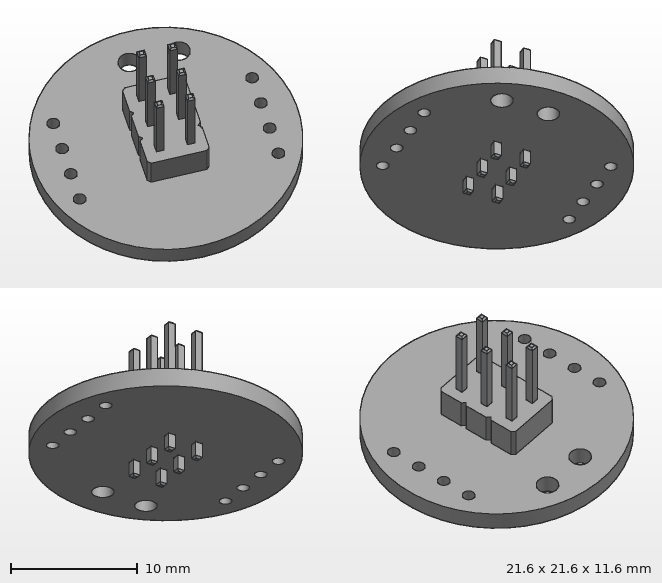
import cadquery as cq

block_length = 7.62
pin_columns = 3
pin_rows = 2
pitch = block_length / pin_columns

board_diameter = 21.6
board_thickness = 1.6

pad_hole_diameter = 1.0
pad_holes_per_row = 4
pad_row_offset = 8.15
mount_hole_diameter = 1.77
mount_hole_x = -7.88
mount_hole_ys = (3.3, -0.75)

block_height = 2.55
block_standoff = 0.05
block_chamfer = 0.25
pin_width = 0.63
pin_tip_chamfer = 0.15
pin_rise = 6.0
pin_tail = 1.35

block_width = pin_rows * pitch
block_bottom = board_thickness + block_standoff
pin_length = pin_tail + block_bottom + block_height + pin_rise


def at_pin_positions(plane):
    """Place the centres of the pin grid on a workplane."""
    return plane.rarray(pitch, pitch, pin_columns, pin_rows)


def make_board():
    """Round board with two rows of pad holes, two mounting holes and the pin holes."""
    board = cq.Workplane("XY").circle(board_diameter / 2).extrude(board_thickness)
    pad_holes = (
        cq.Workplane("XY")
        .rarray(pitch, 2 * pad_row_offset, pad_holes_per_row, 2)
        .circle(pad_hole_diameter / 2)
        .extrude(board_thickness)
    )
    mount_holes = (
        cq.Workplane("XY")
        .pushPoints([(mount_hole_x, y) for y in mount_hole_ys])
        .circle(mount_hole_diameter / 2)
        .extrude(board_thickness)
    )
    pin_holes = at_pin_positions(cq.Workplane("XY")).rect(pin_width, pin_width).extrude(board_thickness)
    return board.cut(pad_holes).cut(mount_holes).cut(pin_holes)


def make_header():
    """Pin header: an insulating block with square pins running right through it."""
    block = (
        cq.Workplane("XY")
        .workplane(offset=block_bottom)
        .rarray(pitch, pitch, pin_columns, 1)
        .rect(pitch, block_width)
        .extrude(block_height, combine=False)
        .edges("|Z")
        .chamfer(block_chamfer)
        .combine()
    )
    pins = (
        at_pin_positions(cq.Workplane("XY").workplane(offset=-pin_tail))
        .rect(pin_width, pin_width)
        .extrude(pin_length)
        .faces("<Z or >Z")
        .chamfer(pin_tip_chamfer)
    )
    return block.union(pins)


board = make_board()
header = make_header()
result = cq.Compound.makeCompound([board.val(), header.val()])